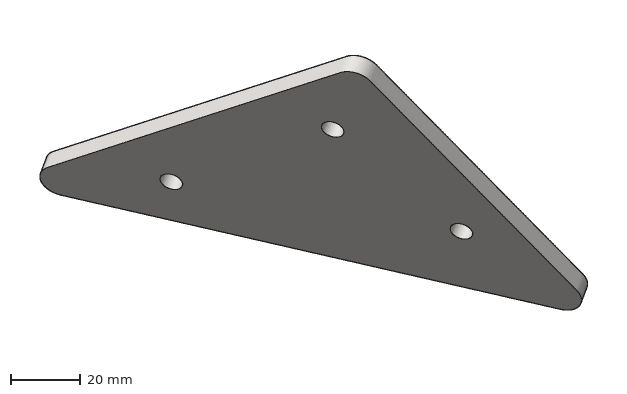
import cadquery as cq
import math

thickness = 6.35
overall_length = 163.31
corner_radius = 6.35
left_angle = 40.0
hole_diameter = 6.76

long_edge_margin = 19.05
short_edge_margin = 25.4
hole_spacing = 63.5
upper_hole = (long_edge_margin, short_edge_margin)
lower_left_hole = (long_edge_margin, short_edge_margin + hole_spacing)
lower_right_hole = (69.4, 17.0)

cos_left = math.cos(math.radians(left_angle))
sin_left = math.sin(math.radians(left_angle))

centre_span = overall_length - 2 * corner_radius
long_leg = centre_span * cos_left
left_centre = (corner_radius, corner_radius)
right_centre = (left_centre[0] + centre_span, left_centre[1])
top_centre = (left_centre[0] + long_leg * cos_left, left_centre[1] + long_leg * sin_left)


def place_from_upper_edges(from_long_edge, from_short_edge):
    """Turn distances in from the two upper edges into an (x, z) place."""
    down_long_edge = from_short_edge - corner_radius
    down_short_edge = from_long_edge - corner_radius
    x = top_centre[0] - down_long_edge * cos_left + down_short_edge * sin_left
    z = top_centre[1] - down_long_edge * sin_left - down_short_edge * cos_left
    return x, z


def make_plate():
    """Triangular plate whose corners are rounded about the arc centres."""
    return (
        cq.Workplane("XZ")
        .polyline([left_centre, right_centre, top_centre])
        .close()
        .offset2D(corner_radius, "arc")
        .extrude(-thickness)
    )


def make_holes():
    """Cylinders that cut the three plain through holes."""
    places = [
        place_from_upper_edges(*hole)
        for hole in (upper_hole, lower_left_hole, lower_right_hole)
    ]
    return (
        cq.Workplane("XZ")
        .pushPoints(places)
        .circle(hole_diameter / 2)
        .extrude(-thickness)
    )


result = make_plate().cut(make_holes())